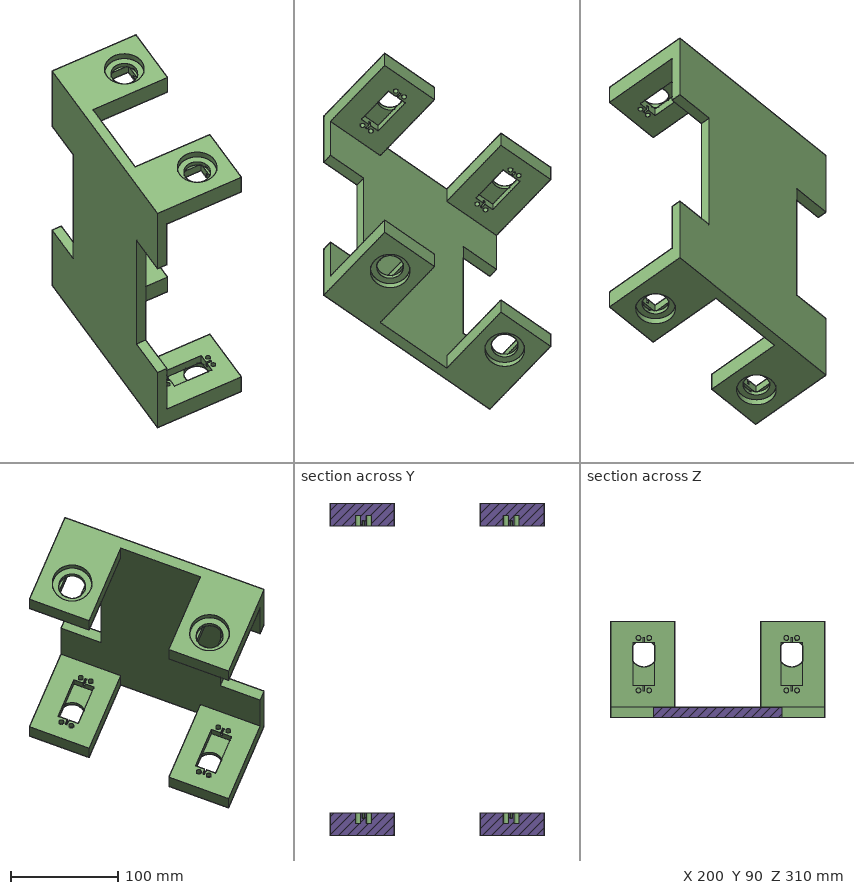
import cadquery as cq

WIDTH = 200.0
DEPTH = 90.0
HEIGHT = 310.0
PLATE_THICKNESS = 10.0
WAIST_WIDTH = 120.0
WAIST_HEIGHT = 150.0

FLANGE_THICKNESS = 21.3
ARM_GAP = 80.0

SHAFT_X = 69.0
SHAFT_FROM_TIP = 30.0
COUNTERBORE_DIAMETER = 37.0
COUNTERBORE_DEPTH = 7.0
BORE_DIAMETER = 25.0

POCKET_WIDTH = 20.2
POCKET_LENGTH = 40.0
POCKET_DEPTH = 9.5
SHAFT_TO_POCKET_END = 10.0

SCREW_DIAMETER = 4.5
SCREW_DEPTH = 10.0
SCREW_SPACING = 10.0
SCREW_FROM_POCKET = 4.5
GROOVE_WIDTH = 1.75
GROOVE_LENGTH = 5.0
GROOVE_DEPTH = 5.0

INNER_Z = HEIGHT / 2 - FLANGE_THICKNESS
SHAFT_Y = DEPTH - SHAFT_FROM_TIP
POCKET_Y = SHAFT_Y + SHAFT_TO_POCKET_END - POCKET_LENGTH / 2


def box(x_size, y_size, z_size, y_min, z_min, x_centre=0.0):
    """Box centred on x_centre, starting at y_min and z_min."""
    return (
        cq.Workplane("XY")
        .box(x_size, y_size, z_size, centered=(True, False, False))
        .translate((x_centre, y_min, z_min))
    )


def cylinder(diameter, x, y, z_min, height):
    """Upright cylinder standing on z_min."""
    return cq.Workplane("XY", origin=(x, y, z_min)).circle(diameter / 2).extrude(height)


def bracket_body():
    """C-shaped body with a waisted back plate and forked flanges."""
    body = box(WIDTH, DEPTH, HEIGHT, 0, -HEIGHT / 2)
    arm_length = DEPTH - PLATE_THICKNESS
    body = body.cut(box(WIDTH, arm_length, 2 * INNER_Z, PLATE_THICKNESS, -INNER_Z))
    body = body.cut(box(ARM_GAP, arm_length, HEIGHT, PLATE_THICKNESS, -HEIGHT / 2))
    notch_width = (WIDTH - WAIST_WIDTH) / 2
    notch_x = (WIDTH + WAIST_WIDTH) / 4
    for x in (-notch_x, notch_x):
        body = body.cut(box(notch_width, PLATE_THICKNESS, WAIST_HEIGHT, 0, -WAIST_HEIGHT / 2, x))
    return body


def servo_seat(x):
    """Material removed from the top arm at x to seat a servo and its output shaft."""
    seat = cylinder(BORE_DIAMETER, x, SHAFT_Y, INNER_Z + POCKET_DEPTH, FLANGE_THICKNESS - POCKET_DEPTH)
    counterbore_z = HEIGHT / 2 - COUNTERBORE_DEPTH
    seat = seat.union(cylinder(COUNTERBORE_DIAMETER, x, SHAFT_Y, counterbore_z, COUNTERBORE_DEPTH))
    pocket_y_min = POCKET_Y - POCKET_LENGTH / 2
    seat = seat.union(box(POCKET_WIDTH, POCKET_LENGTH, POCKET_DEPTH, pocket_y_min, INNER_Z, x))

    groove_span = POCKET_LENGTH + 2 * GROOVE_LENGTH
    groove_y_min = POCKET_Y - groove_span / 2
    seat = seat.union(box(GROOVE_WIDTH, groove_span, GROOVE_DEPTH, groove_y_min, INNER_Z, x))

    screw_y_offset = POCKET_LENGTH / 2 + SCREW_FROM_POCKET
    for y in (POCKET_Y - screw_y_offset, POCKET_Y + screw_y_offset):
        for screw_x in (x - SCREW_SPACING / 2, x + SCREW_SPACING / 2):
            seat = seat.union(cylinder(SCREW_DIAMETER, screw_x, y, INNER_Z, SCREW_DEPTH))
    return seat


result = bracket_body()
for arm_x in (-SHAFT_X, SHAFT_X):
    top_seat = servo_seat(arm_x)
    result = result.cut(top_seat).cut(top_seat.mirror("XY"))